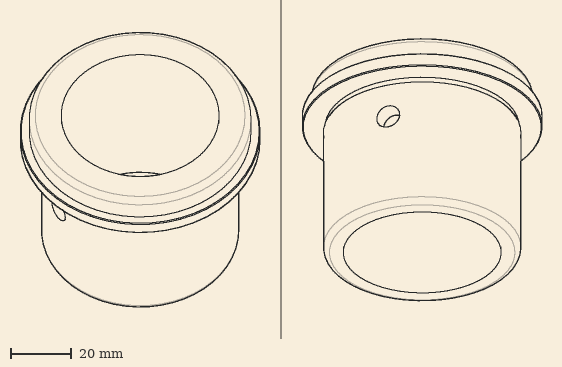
import cadquery as cq

total_height = 61.0
bore_radius = 26.0
body_radius = 65.0 / 2
flange_radius = 39.5
collar_radius = 36.5
edge_radius = 2.0
flange_edge_chamfer = 0.3

collar_height = 8.2
flange_thickness = 4.7
flange_top = total_height - collar_height
flange_bottom = flange_top - flange_thickness
groove_height = 2.05
groove_depth = 0.7
groove_floor_drop = 0.7
groove_top_depth = 0.5
groove_bottom = flange_bottom - groove_height

hole_diameter = 8.0
hole_height = 34.0


def disc(radius, bottom, top):
    return cq.Workplane("XY").workplane(offset=bottom).circle(radius).extrude(top - bottom)


def make_body():
    return disc(body_radius, 0, flange_bottom).faces("<Z").edges().fillet(edge_radius)


def make_flange():
    return disc(flange_radius, flange_bottom, flange_top).edges().chamfer(flange_edge_chamfer)


def make_collar():
    return disc(collar_radius, flange_top, total_height).faces(">Z").edges().fillet(edge_radius)


def make_relief_groove():
    """Ring that cuts a single concave arc into the body just under the flange."""
    floor_point = (body_radius - groove_depth, flange_bottom - groove_floor_drop)
    top_point = (body_radius - groove_top_depth, flange_bottom)
    return (
        cq.Workplane("XZ")
        .moveTo(body_radius, groove_bottom)
        .threePointArc(floor_point, top_point)
        .lineTo(body_radius, flange_bottom)
        .close()
        .revolve(360, (0, 0, 0), (0, 1, 0))
    )


def make_radial_hole():
    return (
        cq.Workplane("XZ")
        .center(0, hole_height)
        .circle(hole_diameter / 2)
        .extrude(flange_radius)
    )


sleeve = make_body().cut(make_relief_groove()).union(make_flange()).union(make_collar())
result = sleeve.cut(disc(bore_radius, 0, total_height)).cut(make_radial_hole())